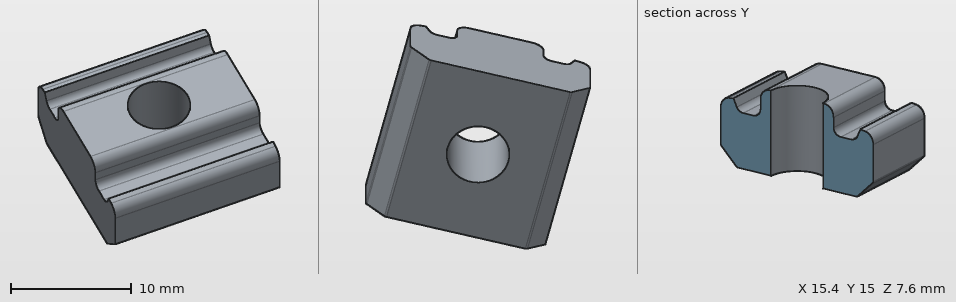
import cadquery as cq
import math

length = 15.0
width = 15.4
height = 7.6

neck_width = 7.4
neck_edge_radius = 1.0

groove_floor_z = 5.0
groove_radius = 0.7
groove_wall_angle = 25.0

lip_tip_x = 6.38
lip_tip_z = 6.1
lip_slope_angle = 8.0
lip_outer_radius = 1.0

lower_chamfer = 1.65
lower_corner_radius = 0.25

hole_diameter = 5.2


def tan_deg(angle):
    return math.tan(math.radians(angle))


half_width = width / 2
half_neck = neck_width / 2
groove_outer_x = lip_tip_x - (lip_tip_z - groove_floor_z) * tan_deg(groove_wall_angle)
lip_outer_z = lip_tip_z - (half_width - lip_tip_x) * tan_deg(lip_slope_angle)

bottom_corner = (half_width - lower_chamfer, 0)
side_corner = (half_width, lower_chamfer)
lip_outer_corner = (half_width, lip_outer_z)
lip_tip = (lip_tip_x, lip_tip_z)
groove_outer_corner = (groove_outer_x, groove_floor_z)
groove_inner_corner = (half_neck, groove_floor_z)
neck_corner = (half_neck, height)


def mirrored(corner):
    x, z = corner
    return (-x, z)


def sharp_body():
    """Symmetric section with sharp corners, extruded along Y and centred on the origin."""
    half_outline = [
        bottom_corner,
        side_corner,
        lip_outer_corner,
        lip_tip,
        groove_outer_corner,
        groove_inner_corner,
        neck_corner,
    ]
    other_half = [mirrored(corner) for corner in reversed(half_outline)]
    outline = cq.Workplane("XZ").polyline(half_outline + other_half).close()
    return outline.extrude(length / 2, both=True)


def round_corner(body, corner, radius):
    """Round the lengthwise edge at a section corner and its mirror image."""
    for x, z in (corner, mirrored(corner)):
        edge = body.edges("|Y").edges(cq.NearestToPointSelector((x, 0, z)))
        body = edge.fillet(radius)
    return body


def cut_hole(body):
    """Vertical through hole in the middle of the neck."""
    return body.cut(cq.Workplane("XY").circle(hole_diameter / 2).extrude(height))


corner_radii = [
    (bottom_corner, lower_corner_radius),
    (side_corner, lower_corner_radius),
    (lip_outer_corner, lip_outer_radius),
    (groove_outer_corner, groove_radius),
    (groove_inner_corner, groove_radius),
    (neck_corner, neck_edge_radius),
]

nut = sharp_body()
for section_corner, corner_radius in corner_radii:
    nut = round_corner(nut, section_corner, corner_radius)

result = cut_hole(nut)